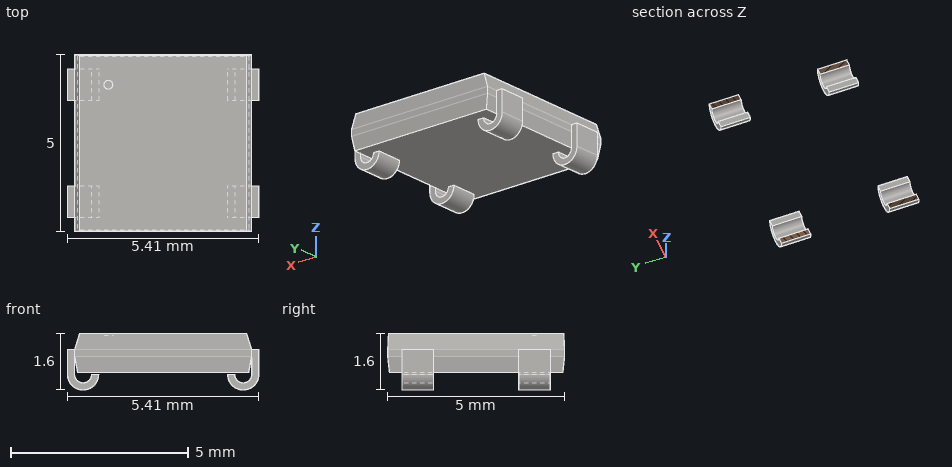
import cadquery as cq

overall_length = 5.41
body_side = 5.0
overall_height = 1.6

lead_thickness = (overall_length - body_side) / 2
lead_width = 0.9
lead_pitch = 3.3
bend_outer_radius = 0.445
bend_inner_radius = bend_outer_radius - lead_thickness
bend_center_x = overall_length / 2 - bend_outer_radius

upper_height = 0.45
band_height = 0.21
lower_height = 0.45
band_top_z = overall_height - upper_height
band_bottom_z = band_top_z - band_height

upper_taper_x = 0.14
upper_taper_y = 0.02
lower_taper_x = 0.08
lower_taper_y = 0.05

marker_diameter = 0.25
marker_depth = 0.055
marker_x = -1.545
marker_y = lead_pitch / 2


def make_tapered_block(base_z, height, taper_x, taper_y):
    """Loft from the full body square to a rectangle set in by the tapers; negative height goes down."""
    return (
        cq.Workplane("XY", origin=(0, 0, base_z))
        .rect(body_side, body_side)
        .workplane(offset=height)
        .rect(body_side - 2 * taper_x, body_side - 2 * taper_y)
        .loft(ruled=True)
    )


def make_marker():
    return (
        cq.Workplane("XY", origin=(marker_x, marker_y, overall_height - marker_depth))
        .circle(marker_diameter / 2)
        .extrude(marker_depth)
    )


def make_housing(marker):
    """Straight middle band between two tapered halves, recessed for the marker."""
    band = (
        cq.Workplane("XY", origin=(0, 0, band_bottom_z))
        .rect(body_side, body_side)
        .extrude(band_height)
    )
    upper = make_tapered_block(band_top_z, upper_height, upper_taper_x, upper_taper_y)
    lower = make_tapered_block(band_bottom_z, -lower_height, lower_taper_x, lower_taper_y)
    return band.union(upper).union(lower).cut(marker)


def make_lead(side, center_y):
    """J-shaped lead; side is -1 for the -X row and +1 for the +X row."""
    leg_outer_x = side * overall_length / 2
    leg_inner_x = side * body_side / 2
    bend_x = side * bend_center_x
    tip_inner_x = bend_x - side * bend_inner_radius
    tip_outer_x = bend_x - side * bend_outer_radius
    inner_bottom_z = bend_outer_radius - bend_inner_radius
    return (
        cq.Workplane("XZ", origin=(0, center_y, 0))
        .moveTo(leg_outer_x, band_top_z)
        .lineTo(leg_outer_x, bend_outer_radius)
        .threePointArc((bend_x, 0), (tip_outer_x, bend_outer_radius))
        .lineTo(tip_inner_x, bend_outer_radius)
        .threePointArc((bend_x, inner_bottom_z), (leg_inner_x, bend_outer_radius))
        .lineTo(leg_inner_x, band_top_z)
        .close()
        .extrude(lead_width / 2, both=True)
    )


marker = make_marker()
housing = make_housing(marker)
leads = [
    make_lead(side, center_y)
    for side in (-1, 1)
    for center_y in (-lead_pitch / 2, lead_pitch / 2)
]

result = cq.Compound.makeCompound([housing.val(), marker.val(), *[lead.val() for lead in leads]])